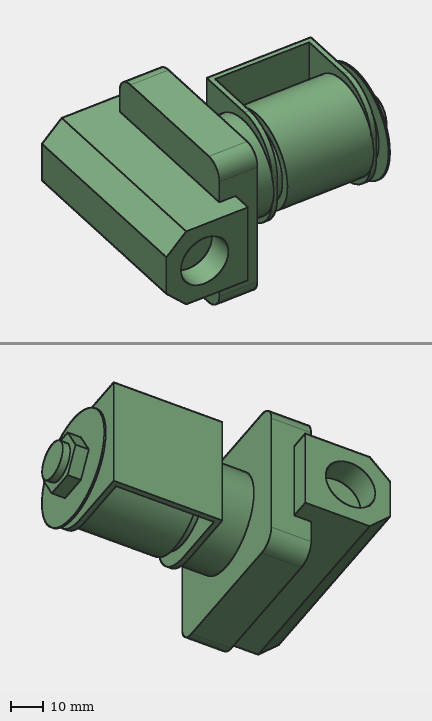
import cadquery as cq
import math


bar_length = 70.0
bar_depth = 30.0
bar_height = 28.0
bar_chamfer_depth = 7.3
bar_chamfer_height = 7.0
socket_diameter = 17.4
socket_depth = 9.2
socket_y = 14.1

flange_size = 56.0
flange_front = 24.0
flange_back = 38.1
flange_corner_radius = 6.0

barrel_diameter = 34.1
neck_diameter = 28.4
collar_back = 51.2
barrel_front = 56.3
washer_diameter = 39.2
washer_front = 91.8
washer_back = 92.4
nut_across_flats = 17.2
nut_back = 97.1
stud_diameter = 13.1
spindle_end = 99.7

bracket_front = 51.5
bracket_back = 89.9
bracket_thickness = 1.9
bracket_height = 39.9
bracket_left = -21.1
bracket_right = 15.6
arm_corner_radius = bracket_right
barrel_back = bracket_back - bracket_thickness


def cylinder_along_y(diameter, y_start, y_end):
    """Round section of the spindle between two Y positions."""
    return cq.Workplane("XZ", origin=(0, y_start, 0)).circle(diameter / 2).extrude(y_start - y_end)


def make_bar():
    half_height = bar_height / 2
    nose_half_height = half_height - bar_chamfer_height
    outline = [
        (0, -nose_half_height),
        (bar_chamfer_depth, -half_height),
        (bar_depth, -half_height),
        (bar_depth, half_height),
        (bar_chamfer_depth, half_height),
        (0, nose_half_height),
    ]
    return cq.Workplane("YZ").polyline(outline).close().extrude(bar_length / 2, both=True)


def make_end_socket(side):
    """Blind socket cutter; side is -1 or +1 for the end of the bar in X."""
    return (
        cq.Workplane("YZ", origin=(side * bar_length / 2, socket_y, 0))
        .circle(socket_diameter / 2)
        .extrude(-side * socket_depth)
    )


def make_flange():
    return (
        cq.Workplane("XZ", origin=(0, flange_front, 0))
        .rect(flange_size, flange_size)
        .extrude(flange_front - flange_back)
        .edges("|Y")
        .fillet(flange_corner_radius)
    )


def make_nut():
    """Hexagon with two corners on the X axis."""
    across_corners = nut_across_flats / math.cos(math.pi / 6)
    return (
        cq.Workplane("XZ", origin=(0, washer_back, 0))
        .polygon(6, across_corners)
        .extrude(washer_back - nut_back)
    )


def make_spindle():
    return (
        cylinder_along_y(barrel_diameter, flange_back, collar_back)
        .union(cylinder_along_y(neck_diameter, collar_back, washer_front))
        .union(cylinder_along_y(barrel_diameter, barrel_front, barrel_back))
        .union(cylinder_along_y(washer_diameter, washer_front, washer_back))
        .union(make_nut())
        .union(cylinder_along_y(stud_diameter, nut_back, spindle_end))
    )


def make_crosshead():
    crosshead = make_bar().union(make_flange()).union(make_spindle())
    for side in (-1, 1):
        crosshead = crosshead.cut(make_end_socket(side))
    return crosshead


def make_bracket():
    """U-shaped strap whose two arms have rounded corners and fit around the necks."""
    block = (
        cq.Workplane("XY")
        .box(
            bracket_right - bracket_left,
            bracket_back - bracket_front,
            bracket_height,
            centered=(False, False, True),
        )
        .translate((bracket_left, bracket_front, 0))
        .edges("|Y and >X")
        .fillet(arm_corner_radius)
    )
    opening_left = bracket_left + bracket_thickness
    opening = cq.Workplane("XY").box(
        bracket_right - opening_left,
        bracket_back - bracket_front - 2 * bracket_thickness,
        bracket_height,
        centered=(False, False, True),
    ).translate((opening_left, bracket_front + bracket_thickness, 0))
    bore = cylinder_along_y(neck_diameter, bracket_front, bracket_back)
    return block.cut(opening).cut(bore)


crosshead = make_crosshead()
bracket = make_bracket()
result = cq.Compound.makeCompound([crosshead.val(), bracket.val()])